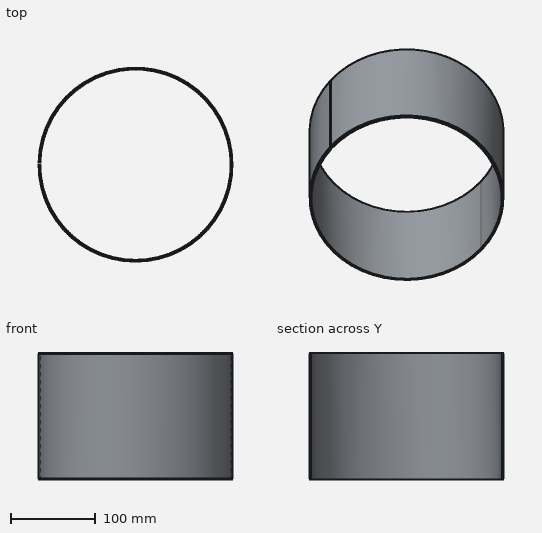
import cadquery as cq

outer_diameter = 230.0
wall = 2.5
height = 150.0
slit_width = 2.0
outer_bevel_height = 1.8
outer_bevel_width = 0.7
inner_bevel = 0.5

outer_radius = outer_diameter / 2
inner_radius = outer_radius - wall


def make_sleeve():
    """Thin-walled tube with steep outer bevels and small inner bevels at both ends."""
    half_height = height / 2
    outer_shoulder = half_height - outer_bevel_height
    inner_shoulder = half_height - inner_bevel
    rim_outer = outer_radius - outer_bevel_width
    rim_inner = inner_radius + inner_bevel
    profile = [
        (rim_inner, -half_height),
        (rim_outer, -half_height),
        (outer_radius, -outer_shoulder),
        (outer_radius, outer_shoulder),
        (rim_outer, half_height),
        (rim_inner, half_height),
        (inner_radius, inner_shoulder),
        (inner_radius, -inner_shoulder),
    ]
    return cq.Workplane("XZ").polyline(profile).close().revolve(360, (0, 0), (0, 1))


def make_slit():
    """Full-height cutter that opens the wall on the -X side, with one face on the XZ plane."""
    cutter_depth = 4 * wall
    cutter = cq.Workplane("XY").box(cutter_depth, slit_width, height)
    return cutter.translate((-outer_radius, slit_width / 2, 0))


result = make_sleeve().cut(make_slit())